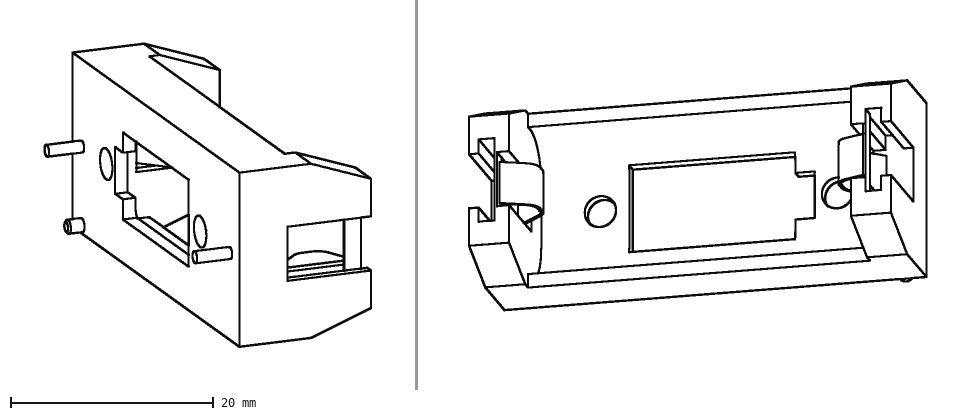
import cadquery as cq
import math

LENGTH = 43.0
HEIGHT = 18.0
DEPTH = 14.05
ARM_LENGTH = 4.1
CRADLE_DEPTH = 6.55
TAPER_START = 7.65
TAPER_DROP = 2.32
ARM_FACE = LENGTH / 2 - ARM_LENGTH

TROUGH_FLOOR = 1.35
TROUGH_HEIGHT = 15.22
TROUGH_RADIUS = 4.35

WINDOW_LEFT = -8.45
WINDOW_RIGHT = 8.43
WINDOW_HEIGHT = 9.0
NOTCH_LENGTH = 1.98
NOTCH_HEIGHT = 4.8
HOLE_DIAMETER = 3.2
HOLE_POSITIONS = (-12.75, 11.4)

PIN_DIAMETER = 1.2
PIN_LENGTH = 3.75
PIN_X = 19.05
PEG_DIAMETER = 1.4
PEG_LENGTH = 1.68
PEG_Z = -8.13
PEG_CHAMFER = 0.2

SLOT_FRONT = 5.15
SLOT_HEIGHT = 5.6
OUTER_WALL = 1.0
POCKET_HEIGHT = 8.5
POCKET_BOTTOM = 2.85

SHEET_THICKNESS = 0.25
PLATE_FRONT = 12.3
SPRING_HEIGHT = 4.25
SPRING_RADIUS = 1.7
SPRING_CREST = 6.15
TAIL_CORNER_Y = 8.5
TAIL_ANGLE = 45.0
LIP_CORNER_Y = 11.3
LIP_ANGLE = 24.2


def box(x_range, y_range, height):
    """Box over the given X and Y ranges, centred on Z = 0."""
    return cq.Workplane("XY").box(
        x_range[1] - x_range[0], y_range[1] - y_range[0], height
    ).translate((sum(x_range) / 2, sum(y_range) / 2, 0))


def front_cylinder(x, z, diameter, length):
    """Cylinder along Y from the front face; positive length points to -Y."""
    return cq.Workplane("XZ").center(x, z).circle(diameter / 2).extrude(length)


def make_block():
    """End profile along the full length, cut back between the arms."""
    half = HEIGHT / 2
    block = (
        cq.Workplane("YZ")
        .polyline([
            (0, -half), (TAPER_START, -half), (DEPTH, TAPER_DROP - half),
            (DEPTH, half - TAPER_DROP), (TAPER_START, half), (0, half),
        ])
        .close()
        .extrude(LENGTH / 2, both=True)
    )
    return block.cut(box((-ARM_FACE, ARM_FACE), (CRADLE_DEPTH, DEPTH), HEIGHT))


def make_trough():
    """Flat-floored trough with large rounds along its two floor edges."""
    trough = box((-ARM_FACE, ARM_FACE), (TROUGH_FLOOR, DEPTH), TROUGH_HEIGHT)
    return trough.edges("|X and <Y").fillet(TROUGH_RADIUS)


def make_front_openings():
    """Window with a side notch, and the two round holes."""
    wall = (0, CRADLE_DEPTH)
    openings = box((WINDOW_LEFT, WINDOW_RIGHT), wall, WINDOW_HEIGHT)
    notch = box((WINDOW_LEFT - NOTCH_LENGTH, WINDOW_RIGHT), wall, NOTCH_HEIGHT)
    openings = openings.union(notch)
    for x in HOLE_POSITIONS:
        openings = openings.union(front_cylinder(x, 0, HOLE_DIAMETER, -CRADLE_DEPTH))
    return openings


def make_contact_slot():
    """Back-open slot through the left arm, widened to a tall pocket inside it."""
    end = -LENGTH / 2
    slot_y = (SLOT_FRONT, DEPTH)
    slot = box((end, end + ARM_LENGTH), slot_y, SLOT_HEIGHT)
    return slot.union(box((end + OUTER_WALL, end + POCKET_BOTTOM), slot_y, POCKET_HEIGHT))


def make_plate():
    """Contact plate closing the back end of the left arm's slot."""
    bottom = POCKET_BOTTOM - LENGTH / 2
    return box((bottom - SHEET_THICKNESS, bottom), (PLATE_FRONT, DEPTH), POCKET_HEIGHT)


def make_spring():
    """Strip of the left arm: sloping tail, straight crest and a lip that runs into the plate."""
    end = -LENGTH / 2
    crest_x = end + SPRING_CREST
    tail = math.radians(TAIL_ANGLE)
    lip = math.radians(LIP_ANGLE)
    tail_tangent = SPRING_RADIUS * math.tan((math.pi / 2 - tail) / 2)
    lip_tangent = SPRING_RADIUS * math.tan((math.pi / 2 - lip) / 2)

    tail_end = (crest_x - (TAIL_CORNER_Y - SLOT_FRONT) / math.tan(tail), SLOT_FRONT)
    tail_bend = (
        crest_x - tail_tangent * math.cos(tail),
        TAIL_CORNER_Y - tail_tangent * math.sin(tail),
    )
    lip_bend = (
        crest_x - lip_tangent * math.cos(lip),
        LIP_CORNER_Y + lip_tangent * math.sin(lip),
    )
    lip_length_x = SPRING_CREST - POCKET_BOTTOM + SHEET_THICKNESS / 2
    lip_end = (crest_x - lip_length_x, LIP_CORNER_Y + lip_length_x * math.tan(lip))

    path = (
        cq.Workplane("XY")
        .moveTo(*tail_end)
        .lineTo(*tail_bend)
        .tangentArcPoint((crest_x, TAIL_CORNER_Y + tail_tangent), relative=False)
        .lineTo(crest_x, LIP_CORNER_Y - lip_tangent)
        .tangentArcPoint(lip_bend, relative=False)
        .lineTo(*lip_end)
    )
    section = cq.Plane(
        origin=(*tail_end, 0),
        xDir=(0, 0, 1),
        normal=(math.cos(tail), math.sin(tail), 0),
    )
    return cq.Workplane(section).rect(SPRING_HEIGHT, SHEET_THICKNESS).sweep(path)


def make_peg():
    """Short locating peg with a chamfered tip."""
    peg = front_cylinder(-PIN_X, PEG_Z, PEG_DIAMETER, PEG_LENGTH)
    return peg.faces("<Y").chamfer(PEG_CHAMFER)


body = make_block().cut(make_trough()).cut(make_front_openings())

slot = make_contact_slot()
body = body.cut(slot).cut(slot.mirror("YZ"))

contact = make_plate().union(make_spring())
body = body.union(contact).union(contact.mirror("YZ"))

for pin_x in (-PIN_X, PIN_X):
    body = body.union(front_cylinder(pin_x, 0, PIN_DIAMETER, PIN_LENGTH))

result = body.union(make_peg())